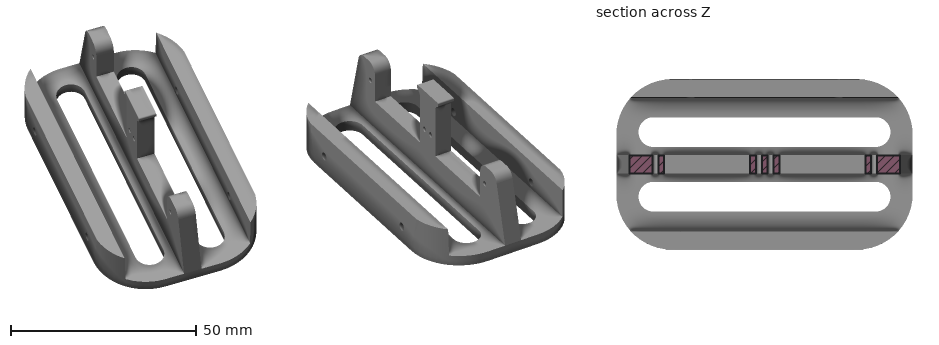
import cadquery as cq

length = 80.0
width = 46.0
base_height = 3.0
corner_radius = 15.0

slot_length = 68.0
slot_width = 8.0
slot_offset = 8.7

wall_top = 11.5
wall_foot_inner = width / 2 - 5.0
wall_draft = 0.18
wall_hole_x = 20.0
wall_hole_z = 5.0
wall_hole_diameter = 2.3

rib_thickness = 5.0
ear_top = 23.0
ear_inner_x = 27.1
ear_outer_x = 35.0
ear_radius = 3.0
ear_hole_x = 29.4

post_half_width = 4.0
post_top = 29.5
cap_half_width = 5.4
cap_edge_height = 1.1
cap_corner_radius = 0.4
cap_flare_bottom = post_top - 2.5
flare_hollow = 0.12

pin_hole_z = 17.1
pin_hole_diameter = 1.5
post_hole_x = 1.6


def rounded_block(height):
    block = cq.Workplane("XY").rect(length, width).extrude(height)
    return block.edges("|Z").fillet(corner_radius)


def make_base():
    slots = (
        cq.Workplane("XY")
        .pushPoints([(0, -slot_offset), (0, slot_offset)])
        .slot2D(slot_length, slot_width)
        .extrude(base_height)
    )
    return rounded_block(base_height).cut(slots)


def make_walls():
    """Drafted bars along both long sides, trimmed to the rounded outline."""
    foot_outer = width / 2
    walls = cq.Workplane("XY")
    for side in (-1, 1):
        section = [
            (side * wall_foot_inner, base_height),
            (side * foot_outer, base_height),
            (side * (foot_outer - wall_draft), wall_top),
            (side * (wall_foot_inner + wall_draft), wall_top),
        ]
        bar = cq.Workplane("YZ").polyline(section).close().extrude(length / 2, both=True)
        walls = walls.add(bar)
    return walls.combine().intersect(rounded_block(wall_top))


def extrude_across(sketch, thickness):
    """Extrude an XZ outline equally to both sides of the Y = 0 plane."""
    return sketch.extrude(thickness / 2, both=True)


def make_rib():
    outline = [
        (-length / 2, base_height),
        (-ear_outer_x, ear_top),
        (-ear_inner_x, ear_top),
        (-ear_inner_x, wall_top),
        (ear_inner_x, wall_top),
        (ear_inner_x, ear_top),
        (ear_outer_x, ear_top),
        (length / 2, base_height),
    ]
    rib = extrude_across(cq.Workplane("XZ").polyline(outline).close(), rib_thickness)
    ear_corners = rib.faces(">Z").edges("|Y")
    return ear_corners.fillet(ear_radius)


def make_post():
    """Post whose sides flare through hollow arcs into a cap with rounded edges."""
    cap_bottom = post_top - cap_edge_height
    arc_mid_x = (post_half_width + cap_half_width) / 2 - flare_hollow
    arc_mid_z = (cap_flare_bottom + cap_bottom) / 2 + flare_hollow
    outline = (
        cq.Workplane("XZ")
        .moveTo(-post_half_width, wall_top)
        .lineTo(post_half_width, wall_top)
        .lineTo(post_half_width, cap_flare_bottom)
        .threePointArc((arc_mid_x, arc_mid_z), (cap_half_width, cap_bottom))
        .lineTo(cap_half_width, post_top)
        .lineTo(-cap_half_width, post_top)
        .lineTo(-cap_half_width, cap_bottom)
        .threePointArc((-arc_mid_x, arc_mid_z), (-post_half_width, cap_flare_bottom))
        .close()
    )
    post = extrude_across(outline, rib_thickness)
    cap_sides = post.faces("<X or >X")
    return cap_sides.edges("|Y").fillet(cap_corner_radius)


def holes_along_y(x_offsets, z, diameter):
    centres = [(side * x, z) for x in x_offsets for side in (-1, 1)]
    return extrude_across(cq.Workplane("XZ").pushPoints(centres).circle(diameter / 2), width)


pin_holes = holes_along_y([post_hole_x, ear_hole_x], pin_hole_z, pin_hole_diameter)
wall_holes = holes_along_y([wall_hole_x], wall_hole_z, wall_hole_diameter)

rib_and_post = make_rib().union(make_post()).cut(pin_holes)
drilled_walls = make_walls().cut(wall_holes)
result = make_base().union(drilled_walls).union(rib_and_post)